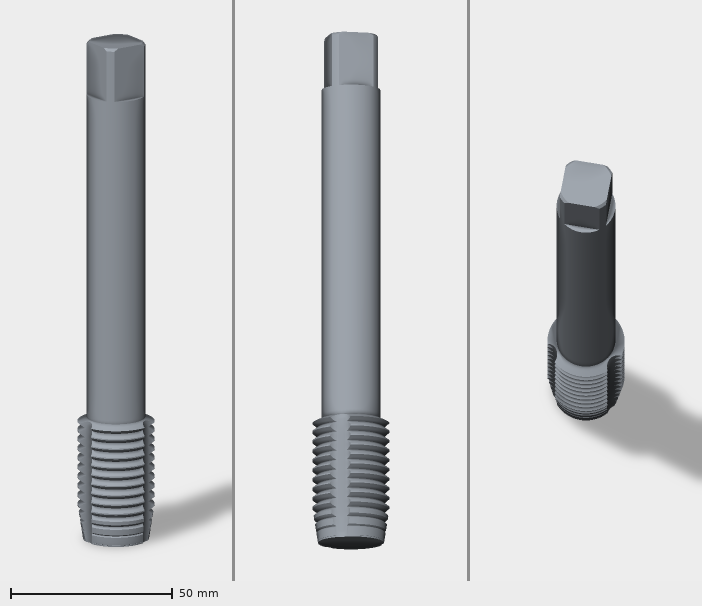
import cadquery as cq

total_length = 160.0
shank_radius = 9.1

square_length = 17.0
square_width = 14.5
top_chamfer = 0.8

crest_radius = 12.0
pitch = 2 * crest_radius / 8
groove_count = 13
thread_depth = 1.8
root_radius = crest_radius - thread_depth
crest_flat = pitch / 8
flank_length = (pitch - crest_flat) / 2

body_split = 37.8
collar_height = 1.5
head_length = body_split + collar_height

lead_length = 11.2

flute_count = 3
flute_radius = 4.0
flute_center_radius = 13.8
first_flute_angle = 30.0


def cut_flutes(body):
    """Cut the round grooves that run along the full length of the head."""
    flutes = (
        cq.Workplane("XY")
        .polarArray(flute_center_radius, first_flute_angle, 360, flute_count)
        .circle(flute_radius)
        .extrude(head_length)
    )
    return body.cut(flutes)


def make_shank():
    """Round shank with a square drive on top and the fluted conical collar below."""
    rod = (
        cq.Workplane("XY")
        .workplane(offset=head_length)
        .circle(shank_radius)
        .extrude(total_length - head_length)
        .faces(">Z")
        .chamfer(top_chamfer)
    )
    square_bottom = total_length - square_length
    outer_width = 4 * shank_radius
    flats_cutter = (
        cq.Workplane("XY")
        .workplane(offset=square_bottom)
        .rect(outer_width, outer_width)
        .rect(square_width, square_width)
        .extrude(square_length)
    )
    collar = (
        cq.Workplane("XZ")
        .moveTo(0, body_split)
        .lineTo(crest_radius, body_split)
        .lineTo(shank_radius, head_length)
        .lineTo(0, head_length)
        .close()
        .revolve(360, (0, 0, 0), (0, 1, 0))
    )
    return rod.cut(flats_cutter).union(cut_flutes(collar))


def thread_groove(crest_bottom):
    """V-shaped ring groove directly below the crest whose lower edge is at crest_bottom."""
    root = crest_bottom - flank_length
    next_crest_top = root - flank_length
    return (
        cq.Workplane("XZ")
        .moveTo(crest_radius, crest_bottom)
        .lineTo(root_radius, root)
        .lineTo(crest_radius, next_crest_top)
        .close()
        .revolve(360, (0, 0, 0), (0, 1, 0))
    )


def make_cutting_head():
    """Threaded head with a tapered lead and three flutes."""
    head = (
        cq.Workplane("XZ")
        .lineTo(root_radius, 0)
        .lineTo(crest_radius, lead_length)
        .lineTo(crest_radius, body_split)
        .lineTo(0, body_split)
        .close()
        .revolve(360, (0, 0, 0), (0, 1, 0))
    )
    for groove in range(groove_count):
        head = head.cut(thread_groove(body_split - groove * pitch))
    return cut_flutes(head)


shank = make_shank()
cutting_head = make_cutting_head()

result = cq.Compound.makeCompound([shank.val(), cutting_head.val()])